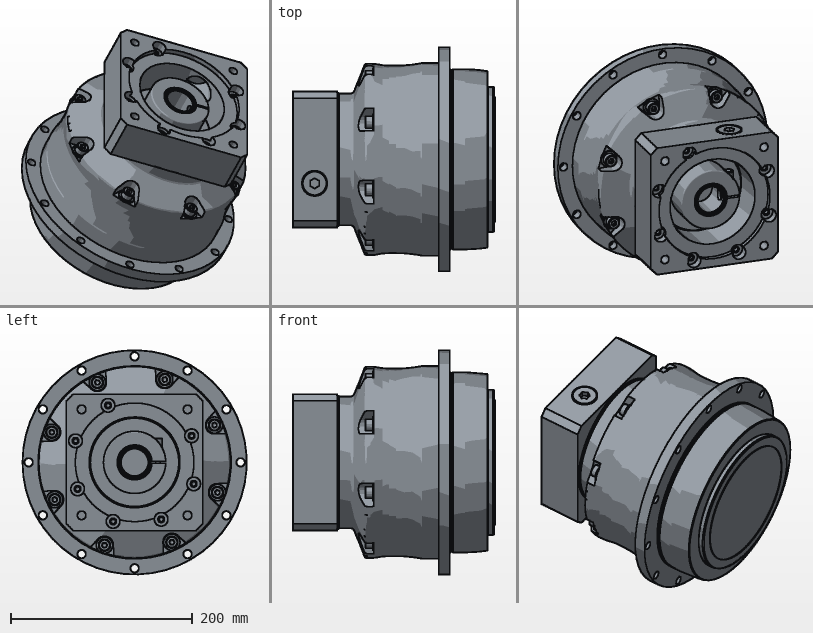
import cadquery as cq
import math


ADAPTER_SIDE = 150.0
ADAPTER_LENGTH = 48.6
ADAPTER_CORNER = 7.4
PILOT_RADIUS = 65.3
PILOT_DEPTH = 6.0
BORE_RADIUS = 50.0
CORNER_HOLE_OFFSET = 58.3
CORNER_HOLE_RADIUS = 4.7
CORNER_HOLE_DEPTH = 20.0

BOLT_COUNT = 8
BOLT_START_ANGLE = 20.0
PLUG_BOLT_ANGLE = 110.0
DRILL_TIP_ANGLE = 118.0
ADAPTER_BOLT_CIRCLE = 69.2
COUNTERBORE_RADIUS = 7.5
COUNTERBORE_DEPTH = 10.5
ADAPTER_HOLE_MOUTH = 3.6
ADAPTER_HOLE_RADIUS = 2.5
ADAPTER_HOLE_DEPTH = 8.0

PLUG_X = 23.8
PLUG_Y = -26.3
PLUG_RADIUS = 14.0
PLUG_CHAMFER = 1.1
PLUG_LENGTH = 12.0
PLUG_HEX_FLATS = 10.0
PLUG_HEX_DEPTH = 6.0

HUB_FRONT = 11.4
HUB_RADIUS = 34.3
HUB_EDGE = 1.6
HUB_BORE_RADIUS = 18.0
HUB_BORE_CHAMFER = 1.2
HUB_SLOT_WIDTH = 2.2
CLAMP_SCREW_Y = -25.6
CLAMP_HEAD_RADIUS = 5.1
CLAMP_HEAD_CHAMFER = 1.0
CLAMP_HEAD_TOP = 26.7
CLAMP_HEAD_HEIGHT = 11.0
CLAMP_SHANK_RADIUS = 2.6

BUSHING_BORE_RADIUS = 15.0
BUSHING_OUTER_CHAMFER = 1.2
BUSHING_INNER_CHAMFER = 0.8
CROSS_HOLE_RADIUS = 6.0
CROSS_HOLE_X = HUB_FRONT + 11.6

SPIGOT_LENGTH = 2.0
SPIGOT_CHAMFER = 1.4
SPIGOT_START = ADAPTER_LENGTH - SPIGOT_LENGTH
COLLAR_RADIUS = 73.5
COLLAR_END = 50.1
NECK_RADIUS = 72.6
NECK_START = 50.9
NECK_END = 63.2
CONE_ANGLE = 68.2
NECK_FILLET = 4.5
SHOULDER_FILLET = 3.5
SHOULDER_RADIUS = 105.4
SHOULDER_END = 85.4
WAIST_RADIUS = 103.4
WAIST_TAPER = (98.5, 103.8)
WAIST_START = 105.9
WAIST_END = 113.3
BARREL_RADIUS = 106.3
BARREL_STEP = 0.5
BARREL_STEP_START = 140.3
BARREL_START = 142.0
FLANGE_RADIUS = 123.5
FLANGE_START = 160.2
FLANGE_END = 172.6
TAIL_RADIUS = 99.4
TAIL_GROOVE_DEPTH = 0.7
TAIL_GROOVE_START = 173.2
TAIL_GROOVE_END = 174.8
TAIL_START = 176.4
TAIL_CURVE_START = 189.6
TAIL_END_RADIUS = 97.3
TAIL_CHAMFER = 0.8
TAIL_END = 214.4

FLANGE_HOLE_COUNT = 12
FLANGE_HOLE_CIRCLE = 116.6
FLANGE_HOLE_RADIUS = 4.5

POCKET_CIRCLE = 97.0
POCKET_RADIUS = 9.8
POCKET_FLARE = 22.5
POCKET_FLOOR = 88.9
POCKET_REACH = 40.0
WASHER_RADIUS = 9.0
WASHER_THICKNESS = 1.3
HEAD_RADIUS = 6.5
HEAD_LENGTH = 8.0
HEAD_CHAMFER = 0.7
SOCKET_RADIUS = 3.0
SOCKET_DEPTH = 4.0

OUTPUT_RADIUS = 80.0
OUTPUT_CHAMFER = 0.7
OUTPUT_RIM_START = 220.0
OUTPUT_RIM_END = 221.6
OUTPUT_FACE_RADIUS = 68.5
OUTPUT_END = 222.4


def disc(radius, start, end, y=0.0, z=0.0):
    """Cylinder along X from start to end."""
    return cq.Workplane("YZ", origin=(start, y, z)).circle(radius).extrude(end - start)


def cone(start_radius, end_radius, start, end, y=0.0, z=0.0):
    """Truncated or pointed cone along X from start to end."""
    axis = cq.Vector(1, 0, 0)
    solid = cq.Solid.makeCone(start_radius, end_radius, end - start, cq.Vector(start, y, z), axis)
    return cq.Workplane(obj=solid)


def post(radius, bottom, top, y=PLUG_Y):
    """Cylinder along Z at the X of the plug and the clamping screw."""
    return cq.Workplane("XY", origin=(PLUG_X, y, bottom)).circle(radius).extrude(top - bottom)


def drill_tip(radius, start, y, z):
    """Conical end of a drilled hole along X."""
    length = radius / math.tan(math.radians(DRILL_TIP_ANGLE / 2))
    return cone(radius, 0, start, start + length, y, z)


def spin(profile):
    """Turn a closed (X, radius) profile about the gear axis."""
    return profile.close().revolve(360, (0, 0, 0), (1, 0, 0))


def bolt_angles():
    return [BOLT_START_ANGLE + i * 360 / BOLT_COUNT for i in range(BOLT_COUNT)]


def on_circle(radius, angle):
    return radius * math.cos(math.radians(angle)), radius * math.sin(math.radians(angle))


def make_adapter():
    plate = cq.Workplane("YZ").rect(ADAPTER_SIDE, ADAPTER_SIDE).extrude(ADAPTER_LENGTH)
    plate = plate.edges("|X").chamfer(ADAPTER_CORNER)
    plate = plate.cut(disc(PILOT_RADIUS, 0, PILOT_DEPTH))
    plate = plate.cut(disc(BORE_RADIUS, PILOT_DEPTH, ADAPTER_LENGTH))
    plate = plate.cut(post(PLUG_RADIUS, 0, ADAPTER_SIDE / 2))
    for y in (-CORNER_HOLE_OFFSET, CORNER_HOLE_OFFSET):
        for z in (-CORNER_HOLE_OFFSET, CORNER_HOLE_OFFSET):
            plate = plate.cut(disc(CORNER_HOLE_RADIUS, 0, CORNER_HOLE_DEPTH, y, z))
    for angle in bolt_angles():
        if angle == PLUG_BOLT_ANGLE:
            continue
        plate = plate.cut(make_adapter_bolt_hole(*on_circle(ADAPTER_BOLT_CIRCLE, angle)))
    return plate


def make_adapter_bolt_hole(y, z):
    """Counterbore followed by a chamfered blind hole."""
    mouth_end = COUNTERBORE_DEPTH + ADAPTER_HOLE_MOUTH - ADAPTER_HOLE_RADIUS
    hole_end = COUNTERBORE_DEPTH + ADAPTER_HOLE_DEPTH
    hole = disc(COUNTERBORE_RADIUS, 0, COUNTERBORE_DEPTH, y, z)
    hole = hole.union(cone(ADAPTER_HOLE_MOUTH, ADAPTER_HOLE_RADIUS, COUNTERBORE_DEPTH, mouth_end, y, z))
    hole = hole.union(disc(ADAPTER_HOLE_RADIUS, COUNTERBORE_DEPTH, hole_end, y, z))
    return hole.union(drill_tip(ADAPTER_HOLE_RADIUS, hole_end, y, z))


def make_plug():
    top = ADAPTER_SIDE / 2
    plug = post(PLUG_RADIUS, top - PLUG_LENGTH, top).faces(">Z").chamfer(PLUG_CHAMFER)
    corner_diameter = PLUG_HEX_FLATS / math.cos(math.pi / 6)
    socket = (
        cq.Workplane("XY", origin=(PLUG_X, PLUG_Y, top))
        .transformed(rotate=(0, 0, 90))
        .polygon(6, corner_diameter)
        .extrude(-PLUG_HEX_DEPTH)
    )
    return plug.cut(socket)


def make_hub():
    """Slotted clamping hub with its clamping screw."""
    hub = disc(HUB_RADIUS, HUB_FRONT, SPIGOT_START).faces("<X").edges().fillet(HUB_EDGE)
    hub = hub.cut(disc(HUB_BORE_RADIUS, HUB_FRONT, SPIGOT_START))
    mouth_radius = HUB_BORE_RADIUS + HUB_BORE_CHAMFER
    hub = hub.cut(cone(mouth_radius, HUB_BORE_RADIUS, HUB_FRONT, HUB_FRONT + HUB_BORE_CHAMFER))
    slot = cq.Workplane("XY").box(
        ADAPTER_LENGTH, HUB_RADIUS, HUB_SLOT_WIDTH, centered=(False, False, True)
    ).translate((0, -HUB_RADIUS, 0))
    hub = hub.cut(slot)
    hub = hub.union(post(CLAMP_SHANK_RADIUS, -HUB_SLOT_WIDTH, HUB_SLOT_WIDTH, CLAMP_SCREW_Y))
    head = post(CLAMP_HEAD_RADIUS, CLAMP_HEAD_TOP - CLAMP_HEAD_HEIGHT, CLAMP_HEAD_TOP, CLAMP_SCREW_Y)
    return hub.union(head.faces(">Z").chamfer(CLAMP_HEAD_CHAMFER))


def make_bushing():
    """Sleeve flush with the hub face, with a cross hole along Y."""
    bushing = disc(HUB_BORE_RADIUS, HUB_FRONT, SPIGOT_START)
    bushing = bushing.faces("<X").chamfer(BUSHING_OUTER_CHAMFER)
    bushing = bushing.cut(disc(BUSHING_BORE_RADIUS, HUB_FRONT, SPIGOT_START))
    mouth_radius = BUSHING_BORE_RADIUS + BUSHING_INNER_CHAMFER
    mouth_end = HUB_FRONT + BUSHING_INNER_CHAMFER
    bushing = bushing.cut(cone(mouth_radius, BUSHING_BORE_RADIUS, HUB_FRONT, mouth_end))
    cross_hole = cq.Workplane("XZ", origin=(CROSS_HOLE_X, 0, 0)).circle(CROSS_HOLE_RADIUS)
    return bushing.cut(cross_hole.extrude(HUB_BORE_RADIUS, both=True))


def make_housing():
    sine = math.sin(math.radians(CONE_ANGLE))
    cosine = math.cos(math.radians(CONE_ANGLE))
    cone_start_x = NECK_END + NECK_FILLET * sine
    cone_start_radius = NECK_RADIUS + NECK_FILLET * (1 - cosine)
    cone_end_radius = SHOULDER_RADIUS - SHOULDER_FILLET * (1 - cosine)
    cone_end_x = cone_start_x + (cone_end_radius - cone_start_radius) * cosine / sine
    shoulder_x = cone_end_x + SHOULDER_FILLET * sine
    groove_radius = TAIL_RADIUS - TAIL_GROOVE_DEPTH
    profile = (
        cq.Workplane("XY")
        .moveTo(SPIGOT_START, 0)
        .lineTo(SPIGOT_START, BORE_RADIUS - SPIGOT_CHAMFER)
        .lineTo(SPIGOT_START + SPIGOT_CHAMFER, BORE_RADIUS)
        .lineTo(ADAPTER_LENGTH, BORE_RADIUS)
        .lineTo(ADAPTER_LENGTH, COLLAR_RADIUS)
        .lineTo(COLLAR_END, COLLAR_RADIUS)
        .lineTo(NECK_START, NECK_RADIUS)
        .lineTo(NECK_END, NECK_RADIUS)
        .tangentArcPoint((cone_start_x, cone_start_radius), relative=False)
        .lineTo(cone_end_x, cone_end_radius)
        .tangentArcPoint((shoulder_x, SHOULDER_RADIUS), relative=False)
        .lineTo(SHOULDER_END, SHOULDER_RADIUS)
        .tangentArcPoint(WAIST_TAPER, relative=False)
        .lineTo(WAIST_START, WAIST_RADIUS)
        .lineTo(WAIST_END, WAIST_RADIUS)
        .tangentArcPoint((BARREL_STEP_START, BARREL_RADIUS - BARREL_STEP), relative=False)
        .lineTo(BARREL_START, BARREL_RADIUS)
        .lineTo(FLANGE_START, BARREL_RADIUS)
        .lineTo(FLANGE_START, FLANGE_RADIUS)
        .lineTo(FLANGE_END, FLANGE_RADIUS)
        .lineTo(FLANGE_END, TAIL_RADIUS)
        .lineTo(TAIL_GROOVE_START, TAIL_RADIUS)
        .lineTo(TAIL_GROOVE_START, groove_radius)
        .lineTo(TAIL_GROOVE_END, groove_radius)
        .lineTo(TAIL_START, TAIL_RADIUS)
        .lineTo(TAIL_CURVE_START, TAIL_RADIUS)
        .tangentArcPoint((TAIL_END - TAIL_CHAMFER, TAIL_END_RADIUS), relative=False)
        .lineTo(TAIL_END, TAIL_END_RADIUS - TAIL_CHAMFER)
        .lineTo(TAIL_END, OUTPUT_RADIUS - OUTPUT_CHAMFER)
        .lineTo(TAIL_END + OUTPUT_CHAMFER, OUTPUT_RADIUS)
        .lineTo(OUTPUT_RIM_START, OUTPUT_RADIUS)
        .lineTo(OUTPUT_RIM_END, OUTPUT_RADIUS - OUTPUT_CHAMFER)
        .lineTo(OUTPUT_RIM_END, OUTPUT_FACE_RADIUS)
        .lineTo(OUTPUT_END, OUTPUT_FACE_RADIUS)
        .lineTo(OUTPUT_END, 0)
    )
    housing = spin(profile)
    for i in range(FLANGE_HOLE_COUNT):
        y, z = on_circle(FLANGE_HOLE_CIRCLE, i * 360 / FLANGE_HOLE_COUNT)
        housing = housing.cut(disc(FLANGE_HOLE_RADIUS, FLANGE_START, FLANGE_END, y, z))
    pocket = make_pocket()
    screw = make_screw()
    for angle in bolt_angles():
        housing = housing.cut(pocket.rotate((0, 0, 0), (1, 0, 0), angle))
        housing = housing.union(screw.rotate((0, 0, 0), (1, 0, 0), angle))
    return housing


def make_pocket():
    """Round-bottomed pocket on the +Y side, its two walls flaring outward."""
    flare = math.radians(POCKET_FLARE)
    tangent_y = POCKET_CIRCLE - POCKET_RADIUS * math.sin(flare)
    tangent_z = POCKET_RADIUS * math.cos(flare)
    outer_y = tangent_y + POCKET_REACH * math.cos(flare)
    outer_z = tangent_z + POCKET_REACH * math.sin(flare)
    return (
        cq.Workplane("YZ", origin=(NECK_END, 0, 0))
        .moveTo(tangent_y, tangent_z)
        .threePointArc((POCKET_CIRCLE - POCKET_RADIUS, 0), (tangent_y, -tangent_z))
        .lineTo(outer_y, -outer_z)
        .lineTo(outer_y, outer_z)
        .close()
        .extrude(POCKET_FLOOR - NECK_END)
    )


def make_screw():
    """Washer and socket screw head standing on the pocket floor, on the +Y side."""
    washer_start = POCKET_FLOOR - WASHER_THICKNESS
    head_start = washer_start - HEAD_LENGTH
    socket_end = head_start + SOCKET_DEPTH
    head = disc(HEAD_RADIUS, head_start, washer_start, POCKET_CIRCLE).faces("<X").chamfer(HEAD_CHAMFER)
    socket = cq.Workplane("YZ", origin=(head_start, POCKET_CIRCLE, 0)).polygon(6, 2 * SOCKET_RADIUS)
    head = head.cut(socket.extrude(SOCKET_DEPTH))
    head = head.cut(drill_tip(SOCKET_RADIUS * math.cos(math.pi / 6), socket_end, POCKET_CIRCLE, 0))
    return head.union(disc(WASHER_RADIUS, washer_start, POCKET_FLOOR, POCKET_CIRCLE))


adapter = make_adapter()
plug = make_plug()
hub = make_hub()
bushing = make_bushing()
housing = make_housing()

result = cq.Compound.makeCompound(
    [adapter.val(), plug.val(), hub.val(), bushing.val(), housing.val()]
)